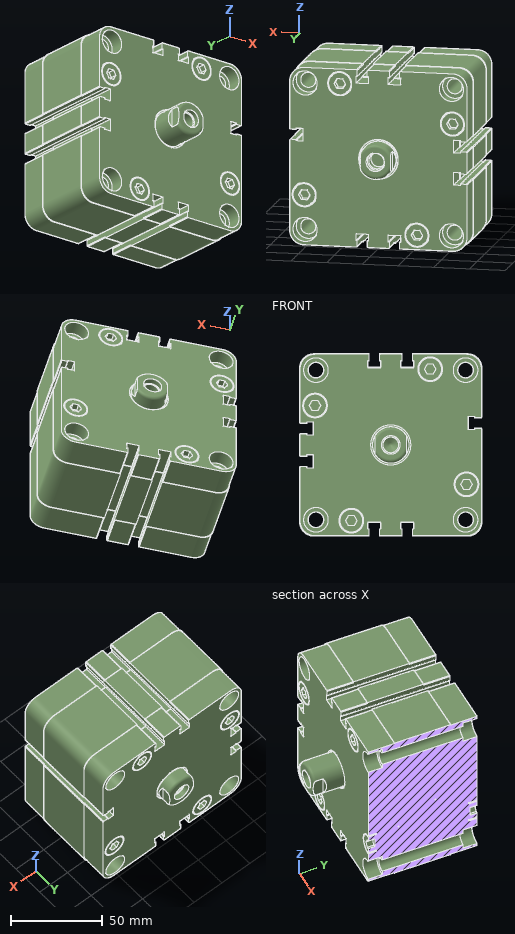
import cadquery as cq
import math


barrel_width = 100.0
barrel_length = 34.0
cap_length = 16.0
cap_inset = 0.3
cap_width = barrel_width - 2 * cap_inset
corner_radius = 8.0
housing_length = barrel_length + 2 * cap_length
housing_front = -housing_length / 2
barrel_front = -barrel_length / 2

slot_throat_width = 5.6
slot_inner_width = 7.0
slot_lip_depth = 4.0
barrel_slot_depth = 7.4
cap_slot_deepening = 0.4
slot_edge_chamfer = 0.4
slot_offset = 9.0
side_slot_offset = 12.0

SLOT_SIDES = [
    (0, (-slot_offset, slot_offset), False),
    (90, (-side_slot_offset,), True),
    (180, (-slot_offset, slot_offset), False),
    (270, (-slot_offset, slot_offset), True),
]

mount_offset = 41.0
mount_hole_diameter = 8.4
counterbore_diameter = 13.5
counterbore_depth = 8.5

screw_offset_long = 41.5
screw_offset_short = 21.6
screw_head_diameter = 12.5
screw_recess_depth = 5.0
socket_flats = 5.5
socket_corners = socket_flats / math.cos(math.pi / 6)
socket_depth = 4.0
SCREW_POSITIONS = [
    (screw_offset_short, screw_offset_long),
    (screw_offset_long, -screw_offset_short),
    (-screw_offset_short, -screw_offset_long),
    (-screw_offset_long, screw_offset_short),
]

rod_diameter = 20.0
rod_front_overhang = 18.0
rod_back_overhang = 8.0
rod_front = housing_front - rod_front_overhang
rod_back = -housing_front + rod_back_overhang
rod_end_radius = 2.0
rod_clearance_diameter = 22.0
rod_clearance_depth = 1.0

flat_width = 17.0
flat_length = 6.0
flat_runout = (rod_diameter - flat_width) / 2

bore_diameter = 8.6
bore_entry_diameter = 10.2
bore_entry_depth = 3.5
bore_depth = 15.0
bore_tip_angle = 120.0
bore_tip_length = bore_diameter / 2 / math.tan(math.radians(bore_tip_angle / 2))


def plane_at(y):
    """XZ sketch plane at the given Y; a negative extrusion runs toward +Y."""
    return cq.Workplane("XZ", origin=(0, y, 0))


def both_ends(feature):
    """A feature of the front end together with its copy at the back end."""
    return feature.union(feature.mirror("XZ"))


def rounded_block(width, front, length):
    return plane_at(front).rect(width, width).extrude(-length).edges("|Y").fillet(corner_radius)


def slot_cutter(width, depth, lip_depth, chamfer, front, length):
    """T-slot cutter opening through the top of a block of the given width."""
    top = width / 2
    lip = top - lip_depth
    floor = top - depth
    cutter = plane_at(front).center(0, (top + floor) / 2).rect(slot_throat_width, depth).extrude(-length)
    inner = plane_at(front).center(0, (lip + floor) / 2).rect(slot_inner_width, lip - floor).extrude(-length)
    cutter = cutter.union(inner)
    if chamfer:
        half = slot_throat_width / 2
        flare = (
            plane_at(front)
            .polyline([
                (-half - chamfer, top),
                (half + chamfer, top),
                (half, top - chamfer),
                (-half, top - chamfer),
            ])
            .close()
            .extrude(-length)
        )
        cutter = cutter.union(flare)
    return cutter


def cut_slots(block, cutter, angle, offsets):
    for offset in offsets:
        placed = cutter.translate((offset, 0, 0)).rotate((0, 0, 0), (0, 1, 0), angle)
        block = block.cut(placed)
    return block


def make_barrel():
    barrel = rounded_block(barrel_width, barrel_front, barrel_length)
    for angle, offsets, chamfered in SLOT_SIDES:
        chamfer = slot_edge_chamfer if chamfered else 0
        cutter = slot_cutter(
            barrel_width, barrel_slot_depth, slot_lip_depth, chamfer, barrel_front, barrel_length
        )
        barrel = cut_slots(barrel, cutter, angle, offsets)
    return barrel


def make_cap():
    cap = rounded_block(cap_width, housing_front, cap_length)
    cutter = slot_cutter(
        cap_width,
        barrel_slot_depth + cap_slot_deepening - cap_inset,
        slot_lip_depth - cap_inset,
        slot_edge_chamfer,
        housing_front,
        cap_length,
    )
    for angle, offsets, _ in SLOT_SIDES:
        cap = cut_slots(cap, cutter, angle, offsets)

    front = plane_at(housing_front)
    counterbores = (
        front.rect(2 * mount_offset, 2 * mount_offset, forConstruction=True)
        .vertices()
        .circle(counterbore_diameter / 2)
        .extrude(-counterbore_depth)
    )
    screw_gaps = (
        front.pushPoints(SCREW_POSITIONS)
        .circle(counterbore_diameter / 2)
        .circle(screw_head_diameter / 2)
        .extrude(-screw_recess_depth)
    )
    sockets = front.pushPoints(SCREW_POSITIONS).polygon(6, socket_corners).extrude(-socket_depth)
    rod_clearance = front.circle(rod_clearance_diameter / 2).extrude(-rod_clearance_depth)
    return cap.cut(counterbores).cut(screw_gaps).cut(sockets).cut(rod_clearance)


def mount_holes():
    return (
        plane_at(housing_front)
        .rect(2 * mount_offset, 2 * mount_offset, forConstruction=True)
        .vertices()
        .circle(mount_hole_diameter / 2)
        .extrude(-housing_length)
    )


def flat_cutter(end, inward):
    """Removes both wrench flats at a rod end; inward is the Y direction into the rod."""
    inner = flat_width / 2
    outer = inner + flat_runout
    side = (
        cq.Workplane("XY")
        .polyline([
            (inner, end),
            (inner, end + inward * flat_length),
            (outer, end + inward * (flat_length + flat_runout)),
            (outer, end),
        ])
        .close()
        .extrude(rod_diameter / 2, both=True)
    )
    return side.union(side.mirror("YZ"))


def bore_cutter(end, inward):
    """Stepped bore with a conical bottom, revolved about the rod axis."""
    bore = bore_diameter / 2
    entry = bore_entry_diameter / 2
    return (
        cq.Workplane("XY")
        .polyline([
            (0, end),
            (entry, end),
            (entry, end + inward * bore_entry_depth),
            (bore, end + inward * bore_entry_depth),
            (bore, end + inward * bore_depth),
            (0, end + inward * (bore_depth + bore_tip_length)),
        ])
        .close()
        .revolve(360, (0, 0, 0), (0, 1, 0))
    )


def make_rod():
    rod = plane_at(rod_front).circle(rod_diameter / 2).extrude(rod_front - rod_back)
    rod = rod.faces("<Y or >Y").edges().fillet(rod_end_radius)
    for end, inward in ((rod_front, 1), (rod_back, -1)):
        rod = rod.cut(flat_cutter(end, inward)).cut(bore_cutter(end, inward))
    return rod


housing = make_barrel().union(both_ends(make_cap())).cut(mount_holes())
result = housing.union(make_rod())